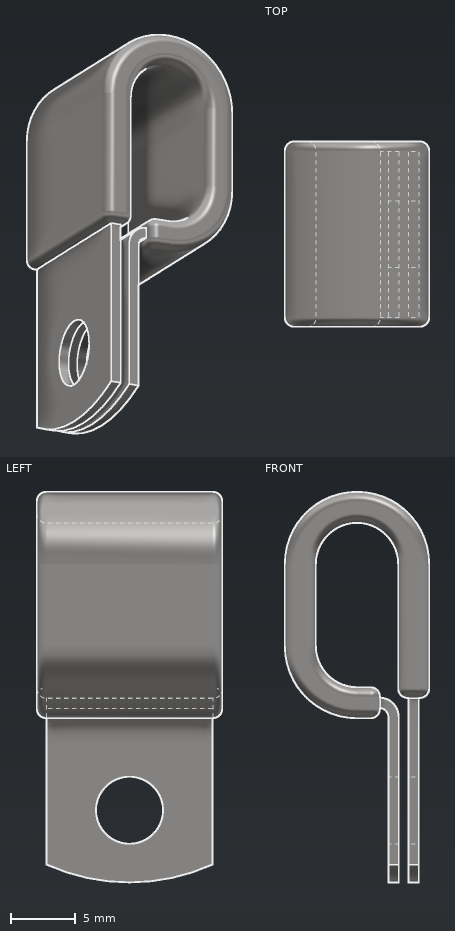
import cadquery as cq

loop_width = 11.15
cushion_length = 14.3
cushion_thickness = 2.4
edge_radius = 0.75
straight_height = 6.32
lower_lip_end = 1.78
long_leg_height = 10.33

strap_width = 12.8
strap_thickness = 0.8
short_tab_face = 3.22
bend_inner_radius = 0.7
tab_tip_rise = 1.4
hole_diameter = 5.15
hole_above_tip = 5.57
overall_height = 30.1

mid_radius = (loop_width - cushion_thickness) / 2
tip_z = loop_width / 2 - overall_height
bend_outer_radius = bend_inner_radius + strap_thickness
bend_start_x = short_tab_face - bend_outer_radius
lower_run_z = -straight_height - mid_radius


def cushion_outline():
    """Closed outline of the loop band."""
    outer = loop_width / 2
    inner = outer - cushion_thickness
    bend_z = -straight_height
    return (
        cq.Workplane("XZ")
        .moveTo(outer, -long_leg_height)
        .lineTo(outer, 0)
        .threePointArc((0, outer), (-outer, 0))
        .lineTo(-outer, bend_z)
        .radiusArc((0, bend_z - outer), -outer)
        .lineTo(lower_lip_end, bend_z - outer)
        .lineTo(lower_lip_end, bend_z - inner)
        .lineTo(0, bend_z - inner)
        .radiusArc((-inner, bend_z), inner)
        .lineTo(-inner, 0)
        .threePointArc((0, inner), (inner, 0))
        .lineTo(inner, -long_leg_height)
        .close()
    )


def make_cushion():
    body = cushion_outline().extrude(cushion_length / 2, both=True)
    side_edges = body.faces("<Y or >Y").edges()
    long_leg_end = cq.selectors.NearestToPointSelector((mid_radius, 0, -long_leg_height))
    lip_end = cq.selectors.NearestToPointSelector((lower_lip_end, 0, lower_run_z))
    end_edges = body.faces(long_leg_end).edges("|Y").add(body.faces(lip_end).edges("|Y"))
    return side_edges.add(end_edges).fillet(edge_radius)


def make_short_tab():
    """Lower strap end: a quarter bend turning down into a flat tab."""
    top_z = lower_run_z + strap_thickness / 2
    under_z = lower_run_z - strap_thickness / 2
    inner_x = short_tab_face - strap_thickness
    bend_end_z = under_z - bend_inner_radius
    return (
        cq.Workplane("XZ")
        .moveTo(0, top_z)
        .lineTo(bend_start_x, top_z)
        .radiusArc((short_tab_face, bend_end_z), bend_outer_radius)
        .lineTo(short_tab_face, tip_z)
        .lineTo(inner_x, tip_z)
        .lineTo(inner_x, bend_end_z)
        .radiusArc((bend_start_x, under_z), -bend_inner_radius)
        .lineTo(0, under_z)
        .close()
        .extrude(strap_width / 2, both=True)
    )


def make_long_tab():
    top_z = -straight_height
    return (
        cq.Workplane("XY", origin=(mid_radius, 0, tip_z))
        .rect(strap_thickness, strap_width)
        .extrude(top_z - tip_z)
    )


def make_tab_envelope():
    """Round-tipped outline with the bolt hole, shared by both tabs."""
    half_width = strap_width / 2
    shoulder_z = tip_z + tab_tip_rise
    return (
        cq.Workplane("YZ", origin=(-loop_width, 0, 0))
        .moveTo(-half_width, 0)
        .lineTo(-half_width, shoulder_z)
        .threePointArc((0, tip_z), (half_width, shoulder_z))
        .lineTo(half_width, 0)
        .close()
        .moveTo(0, tip_z + hole_above_tip)
        .circle(hole_diameter / 2)
        .extrude(2 * loop_width)
    )


tabs = make_short_tab().union(make_long_tab()).intersect(make_tab_envelope())
result = make_cushion().union(tabs)